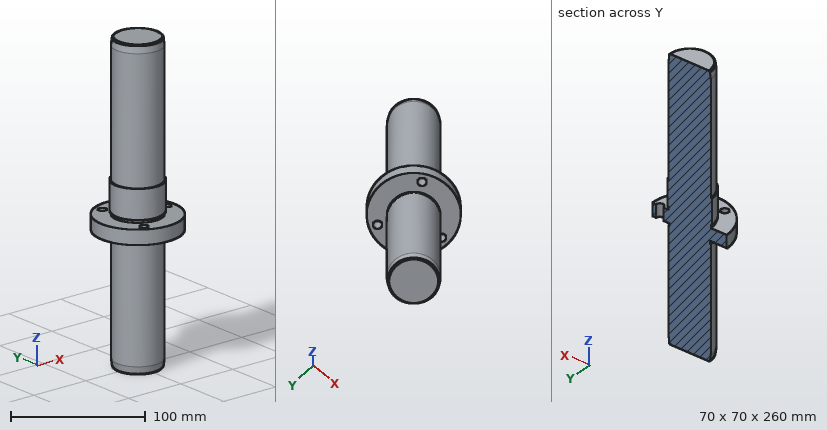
import cadquery as cq

length = 260.0
shaft_radius = 20.0

taper_length = 6.8
taper_end_radius = 19.2
edge_chamfer = 1.0

flange_diameter = 70.0
flange_radius = flange_diameter / 2
flange_bottom = 108.0
flange_thickness = 12.2
flange_top = flange_bottom + flange_thickness

collar_radius = 21.0
collar_top = 147.2
collar_chamfer = 0.5

relief_width = 2.0
upper_relief_radius = 20.0
lower_relief_radius = 19.2

hole_count = 3
hole_diameter = 6.8
hole_circle_radius = 28.0


def revolved_body():
    """Solid of revolution from the half outline, given as (radius, height)."""
    relief_top = flange_top + relief_width
    relief_bottom = flange_bottom - relief_width
    outline = [
        (0, 0),
        (taper_end_radius - edge_chamfer, 0),
        (taper_end_radius, edge_chamfer),
        (shaft_radius, taper_length),
        (shaft_radius, relief_bottom),
        (lower_relief_radius, relief_bottom),
        (lower_relief_radius, flange_bottom),
        (flange_radius, flange_bottom),
        (flange_radius, flange_top),
        (upper_relief_radius, flange_top),
        (upper_relief_radius, relief_top),
        (collar_radius - collar_chamfer, relief_top),
        (collar_radius, relief_top + collar_chamfer),
        (collar_radius, collar_top),
        (shaft_radius, collar_top),
        (shaft_radius, length - taper_length),
        (taper_end_radius, length - edge_chamfer),
        (taper_end_radius - edge_chamfer, length),
        (0, length),
    ]
    return cq.Workplane("XZ").polyline(outline).close().revolve(360, (0, 0, 0), (0, 1, 0))


def flange_holes():
    """Equally spaced cylinders through the flange, the first on the +X axis."""
    return (
        cq.Workplane("XY")
        .workplane(offset=flange_bottom)
        .polarArray(hole_circle_radius, 0, 360, hole_count)
        .circle(hole_diameter / 2)
        .extrude(flange_thickness)
    )


result = revolved_body().cut(flange_holes())